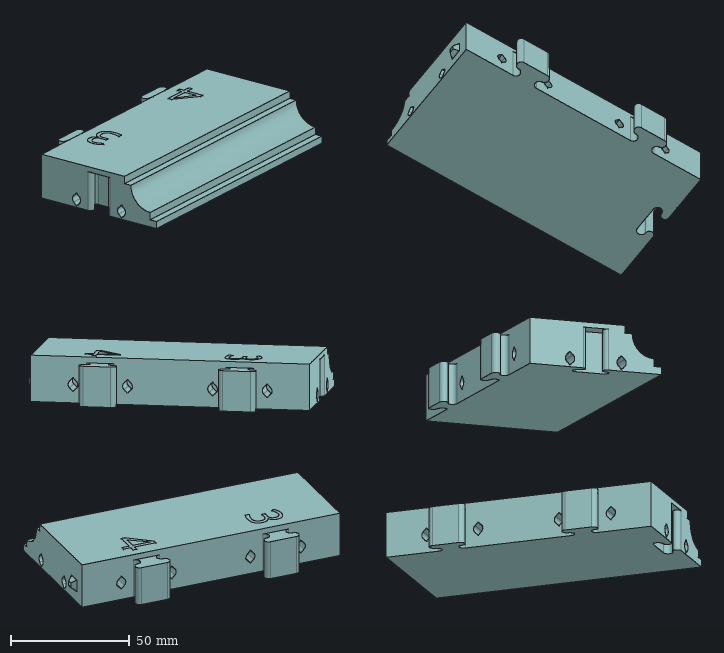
import cadquery as cq
import math

block_width = 59.9
block_length = 119.9
block_height = 20.0
moulding_step = block_height / 6
cove_radius = block_height / 2

clip_reach = 8.0
clip_height = 17.4
clip_length = 16.0
clip_radius = clip_reach / 4
clip_positions = [block_length / 4, 3 * block_length / 4]

slot_x = block_width / 2
slot_height = 17.7
slot_clearance = 0.06
slot_shift = 0.09

hole_radius = 2.1
hole_offset = 11.7
long_hole_z = 3.7
side_hole_z = 7.9
side_hole_depth = 10.0

peg_length = 2.1
peg_base_width = 5.4
peg_tip_width = 2.2
peg_x = 7.9
peg_z = 7.8

inlay_depth = 1.0
four_stroke = 1.7
four_foot_x = 4.1
four_top_x = 16.2
four_bar_x = 6.5
four_end_y = 97.7
four_stem_y = 94.3
four_point_y = 82.7
four_inner_point_y = 84.5
four_inner_top_x = 13.9
three_bar_end_x = 12.7
three_bar_top_y = 30.7
three_bar_bottom_y = 29.1
three_cusp = (8.2, 29.9)


def moulded_bar():
    step_x = block_width - moulding_step
    cove_x = step_x - cove_radius
    top_x = cove_x - moulding_step
    cove_bottom_z = 2 * moulding_step
    return (
        cq.Workplane("XZ")
        .lineTo(block_width, 0)
        .lineTo(block_width, moulding_step)
        .lineTo(step_x, moulding_step)
        .lineTo(step_x, cove_bottom_z)
        .radiusArc((cove_x, cove_bottom_z + cove_radius), cove_radius)
        .lineTo(top_x, cove_bottom_z + cove_radius)
        .lineTo(top_x, block_height)
        .lineTo(0, block_height)
        .close()
        .extrude(-block_length)
    )


def clip_prism(height, clearance=0):
    """T-shaped prism rooted on the plane X = 0, reaching toward -X and centred on Y = 0."""
    head_radius = clip_radius + clearance
    fillet_radius = clip_radius - clearance
    fillet_x = -clip_radius
    head_x = -3 * clip_radius
    centre_y = clip_length / 2 - clip_radius
    return (
        cq.Workplane("XY")
        .moveTo(fillet_x + fillet_radius, centre_y)
        .threePointArc((fillet_x, centre_y - fillet_radius), (fillet_x - fillet_radius, centre_y))
        .threePointArc((head_x, centre_y + head_radius), (head_x - head_radius, centre_y))
        .lineTo(head_x - head_radius, -centre_y)
        .threePointArc((head_x, -centre_y - head_radius), (fillet_x - fillet_radius, -centre_y))
        .threePointArc((fillet_x, fillet_radius - centre_y), (fillet_x + fillet_radius, -centre_y))
        .close()
        .extrude(height)
    )


def slot_cutter():
    """Clip shape with clearance, turned to reach into the block from the -Y face."""
    cutter = clip_prism(slot_height, slot_clearance)
    return cutter.rotate((0, 0, 0), (0, 0, 1), -90).translate((slot_x, -slot_shift, 0))


def pointed_hole(plane, across, z, depth):
    tip = hole_radius * math.sqrt(2)
    flank = tip / 2
    return (
        cq.Workplane(plane)
        .moveTo(across, z + tip)
        .lineTo(across + flank, z + flank)
        .threePointArc((across + hole_radius, z), (across + flank, z - flank))
        .lineTo(across, z - tip)
        .lineTo(across - flank, z - flank)
        .threePointArc((across - hole_radius, z), (across - flank, z + flank))
        .close()
        .extrude(depth)
    )


def peg():
    return (
        cq.Workplane("XZ", origin=(peg_x, block_length, peg_z))
        .rect(peg_base_width, peg_base_width)
        .workplane(offset=-peg_length)
        .rect(peg_tip_width, peg_tip_width)
        .loft()
    )


def inlay_plane():
    return cq.Workplane("XY", origin=(0, 0, block_height - inlay_depth))


def digit_four():
    """Stem along X, crossbar along Y and a diagonal that closes the triangle."""
    bar_top_x = four_bar_x + four_stroke
    stem_inner_y = four_stem_y - four_stroke
    outline = [
        (four_foot_x, four_stem_y),
        (four_bar_x, four_stem_y),
        (four_bar_x, four_end_y),
        (bar_top_x, four_end_y),
        (bar_top_x, four_stem_y),
        (four_top_x, four_stem_y),
        (four_top_x, stem_inner_y),
        (bar_top_x, four_point_y),
        (four_bar_x, four_point_y),
        (four_bar_x, stem_inner_y),
        (four_foot_x, stem_inner_y),
    ]
    opening = [
        (bar_top_x, stem_inner_y),
        (four_inner_top_x, stem_inner_y),
        (bar_top_x, four_inner_point_y),
    ]
    body = inlay_plane().polyline(outline).close().extrude(inlay_depth)
    return body.cut(inlay_plane().polyline(opening).close().extrude(inlay_depth))


def digit_three():
    """Two open lobes, the larger on the +Y side, with a short bar between them."""
    large_outer = [(11.0, 38.0), (6.3, 36.6), (5.4, 33.7), (6.1, 31.3), three_cusp]
    small_outer = [(6.3, 28.8), (5.7, 26.6), (6.5, 24.3), (8.9, 22.8), (11.8, 22.7), (15.0, 24.3)]
    small_inner = [(11.6, 24.3), (9.0, 24.4), (7.7, 26.2), (7.8, 27.9), (10.1, three_bar_bottom_y)]
    large_inner = [(7.8, 31.7), (7.3, 33.7), (8.2, 35.7), (11.2, 36.3), (14.9, 35.4)]
    return (
        inlay_plane()
        .moveTo(14.9, 37.4)
        .spline(large_outer, includeCurrent=True)
        .spline(small_outer, includeCurrent=True)
        .lineTo(14.1, 25.4)
        .spline(small_inner, includeCurrent=True)
        .lineTo(three_bar_end_x, three_bar_bottom_y)
        .lineTo(three_bar_end_x, three_bar_top_y)
        .lineTo(9.5, three_bar_top_y)
        .spline(large_inner, includeCurrent=True)
        .close()
        .extrude(inlay_depth)
    )


def make_block(inlays):
    """Bar with its clips, peg, slot, dowel holes and a recess for each inlay."""
    block = moulded_bar().union(peg()).cut(slot_cutter())
    for y in clip_positions:
        block = block.union(clip_prism(clip_height).translate((0, y, 0)))
    for offset in (-hole_offset, hole_offset):
        block = block.cut(pointed_hole("XZ", slot_x + offset, long_hole_z, -block_length))
        for y in clip_positions:
            block = block.cut(pointed_hole("YZ", y + offset, side_hole_z, side_hole_depth))
    for inlay in inlays:
        block = block.cut(inlay)
    return block


four = digit_four()
three = digit_three()
block = make_block([four, three])

result = cq.Compound.makeCompound([block.val(), four.val(), three.val()])